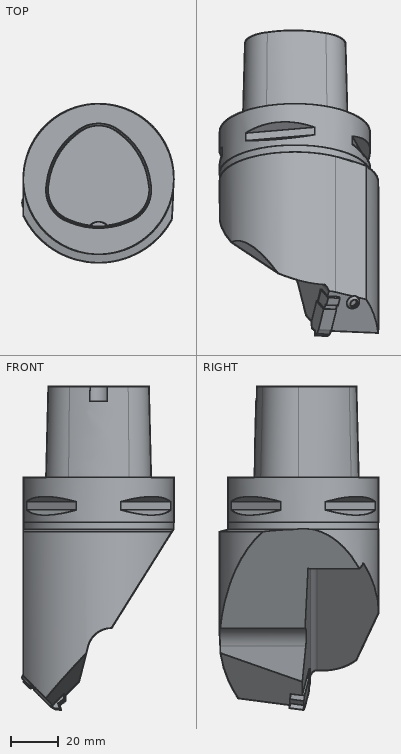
import cadquery as cq
import math


shank_height = 38.0
shank_mean_base = 43.8
shank_mean_top = 41.9
lobe_offset = 1.4
flat_half_angle = 25
key_radius = 4.9
key_y = -22.7
key_depth = 6.2

flange_radius = 31.5
flange_bottom = -21.8
band_top = -18.7
band_inset = 0.07
groove_z = -11.9
groove_floor_distance = 27.8
groove_floor_height = 3.4
groove_flank_angle = 31
groove_angles = (45, 135, 225, 315)

lobe_radius = 35.0
lobe_top = -22.7
body_bottom = -102.7
far = 67.6
cut_margin = 4.0

slant_start = (30.5, -22.8)
slant_end = (5.4, -63.0)
throat_middle = (-1.6, -65.8)
throat_end = (-4.3, -70.4)
throat_wall_end = (-8.1, -85.5)

back_chamfer_top = (31.5, -56.6)
back_chamfer_low = (22.7, -75.3)

tip = (-15.5, 0, -97.2)
rake_angle = 10.5
side_face = -1.2
end_face = -3.0
flute_wall = -23.3
flute_floor = -1.0
flute_fillet = 2.5
insert_width = 6.0
insert_back = -13.4
insert_top = 5.7
insert_side = -2.2
bridge_side = -1.9
nose_corner = (-1.6, -1.5)
nose_heel = -3.9
notch_root = (-1.9, 1.0)
brow_end = (-1.5, 3.9)
brow_start = -3.1
pad_back = -18.9
pad_front = -15.5
pad_side = -2.8
pad_recess = 0.5
screw_diameter = 5.7
screw_along = -16.6
screw_y = -10.0
screw_end = -2.3
screw_round = 1.1
socket_diameter = 3.2
socket_depth = 1.4
screw_length = 5.4

rake = math.radians(rake_angle)
diagonal = math.sqrt(0.5)
across = cq.Vector(diagonal, 0, diagonal)
along = cq.Vector(diagonal * math.cos(rake), -math.sin(rake), -diagonal * math.cos(rake))
rake_normal = across.cross(along)
blade_plane = cq.Plane(origin=tip, xDir=along, normal=across)
insert_plane = cq.Plane(origin=tip, xDir=along, normal=rake_normal * -1)


def extended(start, end, level):
    """Point at the given height on the line through start and end."""
    share = (level - start[1]) / (end[1] - start[1])
    return (start[0] + share * (end[0] - start[0]), level)


def shank_point(mean_diameter, degrees):
    """Point on the three-lobed curve, counted from the middle of its flatter side toward -Y."""
    g = math.radians(degrees)
    radius = mean_diameter / 2
    u = radius * math.cos(g) - 2 * lobe_offset * math.cos(2 * g) + lobe_offset * math.cos(4 * g)
    v = radius * math.sin(g) + 2 * lobe_offset * math.sin(2 * g) + lobe_offset * math.sin(4 * g)
    return (v, -u)


def shank_section(workplane, mean_diameter):
    """Three flatter arcs alternating with three tighter lobe arcs."""
    section = workplane.moveTo(*shank_point(mean_diameter, -flat_half_angle))
    for flat_middle in (0, 120, 240):
        flat_end = flat_middle + flat_half_angle
        lobe_middle = flat_middle + 60
        lobe_end = flat_middle + 120 - flat_half_angle
        section = section.threePointArc(
            shank_point(mean_diameter, flat_middle), shank_point(mean_diameter, flat_end)
        )
        section = section.threePointArc(
            shank_point(mean_diameter, lobe_middle), shank_point(mean_diameter, lobe_end)
        )
    return section.close()


def make_shank():
    base = shank_section(cq.Workplane("XY"), shank_mean_base)
    shank = shank_section(base.workplane(offset=shank_height), shank_mean_top).loft(ruled=True)
    key = (
        cq.Workplane("XY").workplane(offset=shank_height - key_depth)
        .center(0, key_y).circle(key_radius).extrude(2 * key_depth)
    )
    return shank.cut(key)


def make_flange():
    flange = cq.Workplane("XY").circle(flange_radius).extrude(band_top)
    depth = flange_radius - groove_floor_distance + cut_margin
    inner = groove_floor_height / 2
    outer = inner + depth * math.tan(math.radians(groove_flank_angle))
    groove = (
        cq.Workplane("XZ")
        .polyline([
            (groove_floor_distance, groove_z - inner),
            (groove_floor_distance + depth, groove_z - outer),
            (groove_floor_distance + depth, groove_z + outer),
            (groove_floor_distance, groove_z + inner),
        ])
        .close().extrude(flange_radius, both=True)
    )
    for angle in groove_angles:
        flange = flange.cut(groove.rotate((0, 0, 0), (0, 0, 1), angle))
    band = (
        cq.Workplane("XY").workplane(offset=band_top)
        .circle(flange_radius - band_inset).extrude(flange_bottom - band_top)
    )
    return flange.union(band)


def make_body_blank():
    """Round back, flat sides, and a larger arc at -Y under a shallow conical top."""
    side_end = -math.sqrt(lobe_radius ** 2 - flange_radius ** 2)
    section = (
        cq.Workplane("XY").workplane(offset=body_bottom)
        .moveTo(-flange_radius, 0)
        .threePointArc((0, flange_radius), (flange_radius, 0))
        .lineTo(flange_radius, side_end)
        .threePointArc((0, -lobe_radius), (-flange_radius, side_end))
        .close().extrude(flange_bottom - body_bottom)
    )
    cone_top = (
        cq.Workplane("XZ")
        .polyline([
            (0, body_bottom), (lobe_radius, body_bottom), (lobe_radius, lobe_top),
            (flange_radius, flange_bottom), (0, flange_bottom),
        ])
        .close().revolve(360, (0, 0, 0), (0, 1, 0))
    )
    return section.intersect(cone_top)


def side_clearance():
    top = extended(slant_start, slant_end, slant_start[1] + cut_margin)
    low = extended(throat_end, throat_wall_end, body_bottom - cut_margin)
    return (
        cq.Workplane("XZ").moveTo(*top).lineTo(*slant_end)
        .threePointArc(throat_middle, throat_end)
        .lineTo(*low).lineTo(far, low[1]).lineTo(far, top[1])
        .close().extrude(far, both=True)
    )


def back_chamfer():
    top = extended(back_chamfer_top, back_chamfer_low, back_chamfer_top[1] + cut_margin)
    low = extended(back_chamfer_top, back_chamfer_low, body_bottom - cut_margin)
    return (
        cq.Workplane("YZ").polyline([top, low, (top[0], low[1])])
        .close().extrude(far, both=True)
    )


def blade_box(along_range, rake_range, across_range):
    """Box in the cutting frame: along the blade, up from the rake face, across the blade."""
    return (
        cq.Workplane(blade_plane).workplane(offset=across_range[0])
        .moveTo(along_range[0], rake_range[0]).lineTo(along_range[1], rake_range[0])
        .lineTo(along_range[1], rake_range[1]).lineTo(along_range[0], rake_range[1])
        .close().extrude(across_range[1] - across_range[0])
    )


def flute():
    return (
        cq.Workplane(blade_plane)
        .moveTo(flute_wall, far).lineTo(flute_wall, flute_floor + flute_fillet)
        .radiusArc((flute_wall + flute_fillet, flute_floor), -flute_fillet)
        .lineTo(far, flute_floor).lineTo(far, far)
        .close().extrude(far, both=True)
    )


def make_insert():
    insert = (
        cq.Workplane(insert_plane)
        .polyline([
            (0, 0), nose_corner, (nose_heel, insert_side), (insert_back, insert_side),
            (insert_back, insert_top), (brow_start, insert_top), brow_end, notch_root,
        ])
        .close().extrude(insert_width)
    )
    pad = blade_box((pad_back, pad_front), (-insert_width, -pad_recess), (pad_side, insert_top))
    bridge = blade_box((pad_front, insert_back), (-insert_width, -pad_recess), (bridge_side, insert_top))
    return insert.union(pad).union(bridge)


def make_screw():
    """Rounded screw head standing out of the 45 degree side face, with a round socket."""
    rake_level = screw_along * math.tan(rake) + screw_y / math.cos(rake)
    frame = cq.Workplane(blade_plane).workplane(offset=screw_end)
    return (
        frame.center(screw_along, rake_level).circle(screw_diameter / 2).extrude(screw_length)
        .faces(cq.selectors.DirectionMinMaxSelector(across, False)).edges().fillet(screw_round)
        .cut(frame.center(screw_along, rake_level).circle(socket_diameter / 2).extrude(socket_depth))
    )


side_cut = blade_box((-far, far), (-far, far), (side_face - far, side_face))
end_cut = blade_box((end_face, far), (-far, far), (-far, far))

body = make_body_blank().union(make_flange())
for cutter in (side_clearance(), back_chamfer(), side_cut, end_cut, flute()):
    body = body.cut(cutter)
result = body.union(make_shank()).union(make_insert()).union(make_screw())